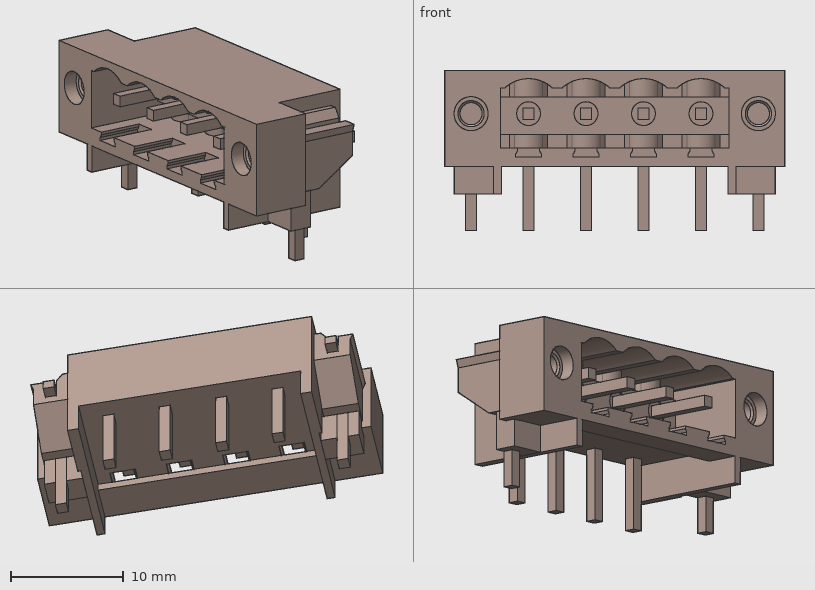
import cadquery as cq
import math


CONTACT_COUNT = 4
PITCH = 5.1
PIN_SIZE = 1.0
PIN_AXIS_Z = 7.15
PIN_BOTTOM_Z = -3.22
CONTACT_TIP_Y = 1.0
CONTACT_LEG_Y = 10.0

FLANGE_LENGTH = 30.12
FLANGE_THICKNESS = 5.33
FLANGE_BOTTOM_Z = 2.45
HOUSING_DEPTH = 12.0
HOUSING_TOP_Z = 10.95
REAR_HALF_WIDTH = 11.02

UNDERSIDE_HALF_WIDTH = 10.03
UNDERSIDE_ROOF_Z = 3.28
FRONT_SILL_DEPTH = 3.07
SIDE_PLATE_HALF_WIDTH = 10.75
SIDE_PLATE_STEP_Y = 7.32

CAVITY_HALF_WIDTH = 10.12
CAVITY_FLOOR_Z = 4.1
CAVITY_CEILING_Z = 9.43
SCALLOP_RADIUS = 3.1
CAVITY_DEPTH = 8.58

RIB_HALF_WIDTH = 1.7
RIB_ARC_HALF_WIDTH = 1.23
RIB_FLANK_ANGLE = 55.0
BAR_BOTTOM_Z = 5.27
BAR_TOP_Z = 8.6
BAR_FACE_Y = 7.23
COLLAR_RECESS_DIAMETER = 2.1
COLLAR_RECESS_DEPTH = 0.15

GROOVE_TOP_HALF_WIDTH = 0.95
GROOVE_BOTTOM_HALF_WIDTH = 1.15
GROOVE_BOTTOM_Z = UNDERSIDE_ROOF_Z
GROOVE_NECK_BOTTOM_Z = 3.85
GROOVE_SHOULDER_Z = 3.55
GROOVE_LENGTH = 4.1

ANCHOR_X = PITCH * (CONTACT_COUNT + 1) / 2
PLUG_DIAMETER = 3.0
PLUG_FACE_Y = 1.3
SCREW_HOLE_DIAMETER = 1.95
SCREW_HOLE_DEPTH = 2.4
SCREW_HOLE_CHAMFER = 0.18
INNER_ARM_TOP_Z = 9.65
INNER_ARM_TOP_X = 11.65
CRADLE_BOTTOM_Z = 3.43
OUTER_ARM_TOP_Z = 8.8
OUTER_ARM_LIP_X = 14.55
OUTER_ARM_X = 14.3
LIP_BOTTOM_Z = 8.07
CRADLE_BACK_Y = 11.0
CRADLE_BACK_BOTTOM_Z = 5.85
FOOT_X = 14.22
FOOT_FRONT_Y = 4.35
ANCHOR_LEG_Y = 6.0

HALF_PIN = PIN_SIZE / 2
FOOT_BACK_Y = ANCHOR_LEG_Y + HALF_PIN
CHANNEL_FLOOR_Z = PIN_AXIS_Z - HALF_PIN
CONTACT_XS = [PITCH * (i - (CONTACT_COUNT - 1) / 2) for i in range(CONTACT_COUNT)]


def block(x_range, y_range, z_range):
    """Box between two limits on each axis."""
    (x0, x1), (y0, y1), (z0, z1) = x_range, y_range, z_range
    return cq.Workplane("XY").box(x1 - x0, y1 - y0, z1 - z0, centered=False).translate((x0, y0, z0))


def centred_block(half_width, y_range, z_range):
    """Box that is symmetric about the plane X = 0."""
    return block((-half_width, half_width), y_range, z_range)


def along_y(y0):
    """Workplane at Y = y0, with local axes X and Z; positive extrusion runs towards -Y."""
    return cq.Workplane("XZ", origin=(0, y0, 0))


def rod(x, diameter, y_range):
    """Cylinder along Y, on the level of the pin axes."""
    y0, y1 = y_range
    return along_y(y1).center(x, PIN_AXIS_Z).circle(diameter / 2).extrude(y1 - y0)


def bent_pin(x, front_y, back_y, leg_y):
    """Square pin with a horizontal bar and a leg that goes down through the board."""
    x_range = (x - HALF_PIN, x + HALF_PIN)
    bar = block(x_range, (front_y, back_y), (PIN_AXIS_Z - HALF_PIN, PIN_AXIS_Z + HALF_PIN))
    leg = block(x_range, (leg_y - HALF_PIN, leg_y + HALF_PIN), (PIN_BOTTOM_Z, PIN_AXIS_Z))
    return bar.union(leg)


def contact_pin(x):
    """Contact that ends in the cavity and is bent down near the back of the housing."""
    return bent_pin(x, CONTACT_TIP_Y, CONTACT_LEG_Y + HALF_PIN, CONTACT_LEG_Y)


def anchor_pin(x):
    """Solder pin of an anchor insert: its bar lies in the cradle, its leg is behind the flange."""
    return bent_pin(x, ANCHOR_LEG_Y - HALF_PIN, HOUSING_DEPTH, ANCHOR_LEG_Y)


def housing_envelope():
    """Flange, rear block and side plates, open underneath."""
    flange = centred_block(FLANGE_LENGTH / 2, (0, FLANGE_THICKNESS), (FLANGE_BOTTOM_Z, HOUSING_TOP_Z))
    rear = centred_block(REAR_HALF_WIDTH, (FLANGE_THICKNESS, HOUSING_DEPTH), (CRADLE_BOTTOM_Z, HOUSING_TOP_Z))
    front_plates = centred_block(SIDE_PLATE_HALF_WIDTH, (0, SIDE_PLATE_STEP_Y), (0, CRADLE_BOTTOM_Z))
    rear_plates = centred_block(REAR_HALF_WIDTH, (SIDE_PLATE_STEP_Y, HOUSING_DEPTH), (0, CRADLE_BOTTOM_Z))
    body = flange.union(rear).union(front_plates).union(rear_plates)
    under_sill = centred_block(UNDERSIDE_HALF_WIDTH, (0, FRONT_SILL_DEPTH), (0, FLANGE_BOTTOM_Z))
    under_roof = centred_block(UNDERSIDE_HALF_WIDTH, (FRONT_SILL_DEPTH, HOUSING_DEPTH), (0, UNDERSIDE_ROOF_Z))
    return body.cut(under_sill).cut(under_roof)


def cavity_space(depth):
    """Cavity outline, with a round scallop above each pin, to the given depth."""
    space = centred_block(CAVITY_HALF_WIDTH, (0, depth), (CAVITY_FLOOR_Z, CAVITY_CEILING_Z))
    for x in CONTACT_XS:
        space = space.union(rod(x, 2 * SCALLOP_RADIUS, (0, depth)))
    above_floor = centred_block(CAVITY_HALF_WIDTH, (0, depth), (CAVITY_FLOOR_Z, HOUSING_TOP_Z))
    return space.intersect(above_floor)


def rib(x):
    """Upright rib on the rear wall: a round nose between two straight tangent flanks."""
    flank = math.radians(RIB_FLANK_ANGLE)
    nose_radius = RIB_ARC_HALF_WIDTH / math.sin(flank)
    tangent_y = CAVITY_DEPTH - (RIB_HALF_WIDTH - RIB_ARC_HALF_WIDTH) * math.tan(flank)
    nose_y = tangent_y - nose_radius * (1 - math.cos(flank))
    return (
        cq.Workplane("XY", origin=(x, 0, 0))
        .moveTo(-RIB_HALF_WIDTH, CAVITY_DEPTH)
        .lineTo(-RIB_ARC_HALF_WIDTH, tangent_y)
        .threePointArc((0, nose_y), (RIB_ARC_HALF_WIDTH, tangent_y))
        .lineTo(RIB_HALF_WIDTH, CAVITY_DEPTH)
        .close()
        .extrude(HOUSING_TOP_Z)
    )


def coding_groove(x):
    """Dovetail groove in the cavity floor, open at the mating face."""
    return (
        along_y(GROOVE_LENGTH)
        .polyline([
            (x - GROOVE_BOTTOM_HALF_WIDTH, GROOVE_BOTTOM_Z),
            (x + GROOVE_BOTTOM_HALF_WIDTH, GROOVE_BOTTOM_Z),
            (x + GROOVE_BOTTOM_HALF_WIDTH, GROOVE_SHOULDER_Z),
            (x + GROOVE_TOP_HALF_WIDTH, GROOVE_NECK_BOTTOM_Z),
            (x + GROOVE_TOP_HALF_WIDTH, CAVITY_FLOOR_Z),
            (x - GROOVE_TOP_HALF_WIDTH, CAVITY_FLOOR_Z),
            (x - GROOVE_TOP_HALF_WIDTH, GROOVE_NECK_BOTTOM_Z),
            (x - GROOVE_BOTTOM_HALF_WIDTH, GROOVE_SHOULDER_Z),
        ])
        .close()
        .extrude(GROOVE_LENGTH)
    )


def make_housing():
    """Housing with its cavity, ribs, pin bar, grooves and the holes for the pins and plugs."""
    space = cavity_space(CAVITY_DEPTH)
    for x in CONTACT_XS:
        space = space.cut(rib(x))
    bar = centred_block(CAVITY_HALF_WIDTH, (BAR_FACE_Y, CAVITY_DEPTH), (BAR_BOTTOM_Z, BAR_TOP_Z))
    body = housing_envelope().cut(space.cut(bar))
    for x in CONTACT_XS:
        body = body.cut(coding_groove(x))
        body = body.cut(rod(x, COLLAR_RECESS_DIAMETER, (BAR_FACE_Y, BAR_FACE_Y + COLLAR_RECESS_DEPTH)))
        body = body.cut(contact_pin(x))
    for x in (-ANCHOR_X, ANCHOR_X):
        body = body.cut(rod(x, PLUG_DIAMETER, (0, FLANGE_THICKNESS)))
    return body


def cradle():
    """Channel with two arms behind the flange; its lower back corner is cut off at a slant."""
    arms = (
        along_y(CRADLE_BACK_Y)
        .polyline([
            (REAR_HALF_WIDTH, CRADLE_BOTTOM_Z),
            (REAR_HALF_WIDTH, INNER_ARM_TOP_Z),
            (INNER_ARM_TOP_X, INNER_ARM_TOP_Z),
            (ANCHOR_X - HALF_PIN, OUTER_ARM_TOP_Z),
            (ANCHOR_X - HALF_PIN, CHANNEL_FLOOR_Z),
            (ANCHOR_X + HALF_PIN, CHANNEL_FLOOR_Z),
            (ANCHOR_X + HALF_PIN, OUTER_ARM_TOP_Z),
            (OUTER_ARM_LIP_X, OUTER_ARM_TOP_Z),
            (OUTER_ARM_X, LIP_BOTTOM_Z),
            (OUTER_ARM_X, CRADLE_BOTTOM_Z),
        ])
        .close()
        .extrude(CRADLE_BACK_Y - FLANGE_THICKNESS)
    )
    corner = (
        cq.Workplane("YZ")
        .polyline([
            (SIDE_PLATE_STEP_Y, CRADLE_BOTTOM_Z),
            (CRADLE_BACK_Y, CRADLE_BOTTOM_Z),
            (CRADLE_BACK_Y, CRADLE_BACK_BOTTOM_Z),
        ])
        .close()
        .extrude(FLANGE_LENGTH)
    )
    return arms.cut(corner)


def foot():
    """Foot under the cradle, which reaches forward below the flange."""
    x_range = (SIDE_PLATE_HALF_WIDTH, FOOT_X)
    below_flange = block(x_range, (FOOT_FRONT_Y, FOOT_BACK_Y), (0, FLANGE_BOTTOM_Z))
    behind_flange = block(x_range, (FLANGE_THICKNESS, FOOT_BACK_Y), (FLANGE_BOTTOM_Z, CRADLE_BOTTOM_Z))
    return below_flange.union(behind_flange)


def make_anchor_insert():
    """Insert at the +X end: cradle, foot and a plug with a blind screw hole in the flange."""
    plug = rod(ANCHOR_X, PLUG_DIAMETER, (PLUG_FACE_Y, FLANGE_THICKNESS))
    hole = rod(ANCHOR_X, SCREW_HOLE_DIAMETER, (PLUG_FACE_Y, PLUG_FACE_Y + SCREW_HOLE_DEPTH))
    hole_rim = cq.selectors.RadiusNthSelector(0)
    plug = plug.cut(hole).faces("<Y").edges(hole_rim).chamfer(SCREW_HOLE_CHAMFER)
    return cradle().union(foot()).union(plug).cut(anchor_pin(ANCHOR_X))


housing = make_housing()
contacts = [contact_pin(x).val() for x in CONTACT_XS]
right_insert = make_anchor_insert()
inserts = [right_insert.val(), right_insert.mirror("YZ").val()]
anchor_pins = [anchor_pin(x).val() for x in (-ANCHOR_X, ANCHOR_X)]

result = cq.Compound.makeCompound([housing.val(), *contacts, *inserts, *anchor_pins])